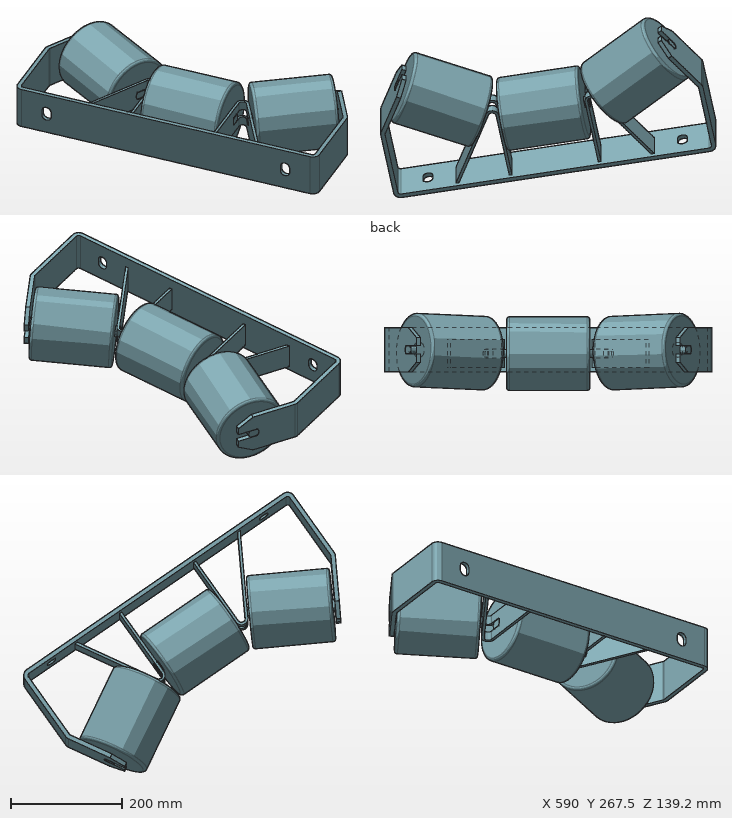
import cadquery as cq
import math

frame_length = 590.0
frame_height = 80.0
frame_thickness = 8.0
frame_bend_radius = 13.0
upright_top_y = 141.0
lean_angle = 30.0
tip_beyond_shaft = 30.4
tip_chamfer_length = 29.0
tip_chamfer_height = 17.5

mount_slot_spacing = 466.0
mount_slot_width = 18.0
mount_slot_height = 27.0

roller_diameter = 133.0
roller_length = 150.0
roller_edge_radius = 5.0
roller_gap = 4.0
shaft_diameter = 20.0
shaft_flat_width = 14.0
shaft_slot_width = 16.0
shaft_clearance = 0.5
middle_roller_y = 125.0
middle_roller_z = -6.9
side_roller_offset = 62.3
side_roller_z = -3.3
side_roller_tilt = 2.2

bracket_thickness = 5.0
bracket_height = 50.0
bracket_mid_z = -6.5
bracket_bend_radius = 12.0
bracket_top_y = 153.0

lean_sin = math.sin(math.radians(lean_angle))
lean_cos = math.cos(math.radians(lean_angle))


def leaning_point(outward, along):
    """Plan point given by its distances along the two leaning directions."""
    return (-outward * lean_cos + along * lean_sin, outward * lean_sin + along * lean_cos)


def outward_distance(x, y):
    return -x * lean_cos + y * lean_sin


half_length = frame_length / 2
frame_bend_x = half_length - frame_bend_radius
end_outer_face = outward_distance(-frame_bend_x, upright_top_y) + frame_bend_radius
end_inner_face = end_outer_face - frame_thickness
bracket_face_x = roller_length / 2 + roller_gap
bracket_bend_x = bracket_face_x + bracket_bend_radius
bracket_bend_y = bracket_top_y - bracket_bend_radius
bracket_outer_face = outward_distance(-bracket_bend_x, bracket_bend_y) + bracket_bend_radius
bracket_inner_face = bracket_outer_face - bracket_thickness
side_roller_outward = (end_inner_face + bracket_outer_face) / 2


def mirrored(shape):
    return shape.mirror("YZ")


def leaning_plane(outward, along, z):
    """Plane on a left leaning plate, facing outward, with its own X running along the plate."""
    x, y = leaning_point(outward, along)
    return cq.Plane(origin=(x, y, z), xDir=(lean_sin, lean_cos, 0), normal=(-lean_cos, lean_sin, 0))


def strip_half(inset):
    """Outline points of the left half of the frame strip, inset from its outer face."""
    radius = frame_bend_radius - inset
    diagonal = radius * math.sqrt(0.5)
    half_lean = math.radians(lean_angle / 2)
    face = end_outer_face - inset
    bend_along = -frame_bend_x * lean_sin + upright_top_y * lean_cos
    return {
        "base": (-frame_bend_x, inset),
        "corner": (-frame_bend_x - diagonal, frame_bend_radius - diagonal),
        "upright": (-half_length + inset, frame_bend_radius),
        "upright_top": (-half_length + inset, upright_top_y),
        "lean_mid": (
            -frame_bend_x - radius * math.cos(half_lean),
            upright_top_y + radius * math.sin(half_lean),
        ),
        "lean": leaning_point(face, bend_along),
        "tip": leaning_point(face, side_roller_offset + tip_beyond_shaft),
    }


def frame_half():
    outer = strip_half(0)
    inner = strip_half(frame_thickness)
    strip = (
        cq.Workplane("XY", origin=(0, 0, -frame_height / 2))
        .moveTo(0, 0)
        .lineTo(*outer["base"])
        .threePointArc(outer["corner"], outer["upright"])
        .lineTo(*outer["upright_top"])
        .threePointArc(outer["lean_mid"], outer["lean"])
        .lineTo(*outer["tip"])
        .lineTo(*inner["tip"])
        .lineTo(*inner["lean"])
        .threePointArc(inner["lean_mid"], inner["upright_top"])
        .lineTo(*inner["upright"])
        .threePointArc(inner["corner"], inner["base"])
        .lineTo(0, frame_thickness)
        .close()
        .extrude(frame_height)
    )
    slot_plane = leaning_plane(end_inner_face, side_roller_offset, 0)
    end_slot = shaft_slot(slot_plane, tip_beyond_shaft, frame_thickness)
    return strip.cut(end_slot).cut(tip_chamfers())


def shaft_slot(plane, reach, depth):
    """Cutter for an open slot: it runs along the plane's X, its bottom rounded to the shaft."""
    half_width = shaft_slot_width / 2
    bottom_radius = shaft_diameter / 2 + shaft_clearance
    arc_start = -math.sqrt(bottom_radius**2 - half_width**2)
    return (
        cq.Workplane(plane)
        .moveTo(reach, half_width)
        .lineTo(arc_start, half_width)
        .threePointArc((-bottom_radius, 0), (arc_start, -half_width))
        .lineTo(reach, -half_width)
        .close()
        .extrude(depth)
    )


def tip_chamfers():
    """Cutters for the top and bottom corners at the tip of the end plate."""
    half_height = frame_height / 2
    plane = leaning_plane(end_inner_face, side_roller_offset + tip_beyond_shaft, 0)
    corners = cq.Workplane(plane)
    for side in (-1, 1):
        corners = corners.polyline([
            (0, side * half_height),
            (-tip_chamfer_length, side * half_height),
            (0, side * (half_height - tip_chamfer_height)),
        ]).close()
    return corners.extrude(frame_thickness)


def build_frame():
    half = frame_half()
    mount_slots = (
        cq.Workplane("XZ")
        .pushPoints([(-mount_slot_spacing / 2, 0), (mount_slot_spacing / 2, 0)])
        .slot2D(mount_slot_height, mount_slot_width, 90)
        .extrude(-frame_thickness)
    )
    return half.union(mirrored(half)).cut(mount_slots)


def build_roller(inner_reach, outer_reach):
    """Roller along X about the origin, its shaft reaching to -outer_reach and +inner_reach."""
    drum = (
        cq.Workplane("YZ", origin=(-roller_length / 2, 0, 0))
        .circle(roller_diameter / 2)
        .extrude(roller_length)
        .edges()
        .fillet(roller_edge_radius)
    )
    bar = (
        cq.Workplane("YZ", origin=(-outer_reach, 0, 0))
        .circle(shaft_diameter / 2)
        .extrude(outer_reach + inner_reach)
    )
    flats = cq.Workplane("XY").box(2 * (outer_reach + inner_reach), shaft_diameter, shaft_flat_width)
    return drum.union(bar.intersect(flats))


def place_middle(roller):
    return roller.translate((0, middle_roller_y, middle_roller_z))


def place_left(roller):
    x, y = leaning_point(side_roller_outward, side_roller_offset)
    return (
        roller.rotate((0, 0, 0), (0, 1, 0), side_roller_tilt)
        .rotate((0, 0, 0), (0, 0, 1), -lean_angle)
        .translate((x, y, side_roller_z))
    )


def bracket_strip():
    """Left bracket: upright leg beside the middle roller, folded over into a leaning leg."""
    base_y = frame_thickness
    fold_top = math.radians(lean_angle / 2)
    inner_radius = bracket_bend_radius - bracket_thickness
    bend_along = -bracket_bend_x * lean_sin + bracket_bend_y * lean_cos

    def foot(face):
        return (-(face - base_y * lean_sin) / lean_cos, base_y)

    def fold_mid(radius):
        return (-bracket_bend_x + radius * math.sin(fold_top), bracket_bend_y + radius * math.cos(fold_top))

    return (
        cq.Workplane("XY", origin=(0, 0, bracket_mid_z - bracket_height / 2))
        .moveTo(-bracket_face_x, base_y)
        .lineTo(-bracket_face_x, bracket_bend_y)
        .threePointArc(fold_mid(bracket_bend_radius), leaning_point(bracket_outer_face, bend_along))
        .lineTo(*foot(bracket_outer_face))
        .lineTo(*foot(bracket_inner_face))
        .lineTo(*leaning_point(bracket_inner_face, bend_along))
        .threePointArc(fold_mid(inner_radius), (-bracket_face_x - bracket_thickness, bracket_bend_y))
        .lineTo(-bracket_face_x - bracket_thickness, base_y)
        .close()
        .extrude(bracket_height)
    )


def build_bracket():
    """Bracket with one shaft slot in each leg, both open through the fold."""
    reach = bracket_top_y - middle_roller_y
    fold_centre_outward = outward_distance(-bracket_bend_x, bracket_bend_y)
    upright_plane = cq.Plane(
        origin=(-bracket_bend_x, middle_roller_y, bracket_mid_z), xDir=(0, 1, 0), normal=(1, 0, 0)
    )
    lean_plane = leaning_plane(fold_centre_outward, side_roller_offset, bracket_mid_z)
    bracket = bracket_strip()
    for plane in (upright_plane, lean_plane):
        bracket = bracket.cut(shaft_slot(plane, reach, bracket_bend_radius))
    return bracket


reach_inner = roller_length / 2 + roller_gap + bracket_thickness
reach_outer = roller_length / 2 + roller_gap + frame_thickness
middle_roller = place_middle(build_roller(reach_inner, reach_inner))
left_roller = place_left(build_roller(reach_inner, reach_outer))
right_roller = mirrored(left_roller)
left_bracket = build_bracket()
right_bracket = mirrored(left_bracket)
frame = build_frame()

result = cq.Compound.makeCompound([
    frame.val(), left_bracket.val(), right_bracket.val(),
    left_roller.val(), middle_roller.val(), right_roller.val(),
])